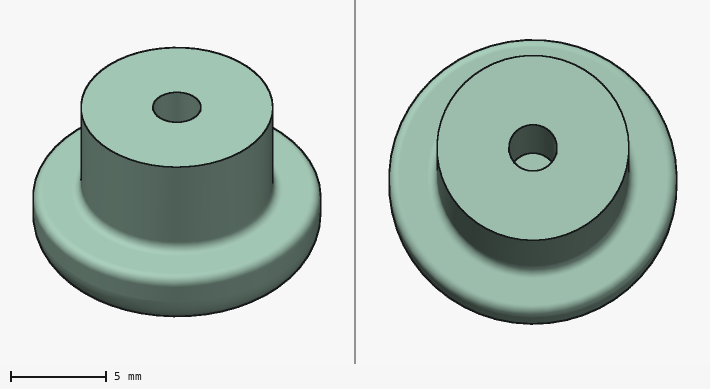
import cadquery as cq

head_diameter = 15.0
head_height = 3.5
stem_diameter = 10.0
total_height = 9.0
hole_diameter = 2.5

base_rounding = 2.0
rim_rounding = 0.5
root_fillet = 0.5

head_radius = head_diameter / 2
stem_radius = stem_diameter / 2
hole_depth = total_height - head_height


def make_body():
    """Head and stem, revolved about Z from half of their section (radius, height)."""
    half_section = (
        cq.Workplane("XZ")
        .lineTo(head_radius - base_rounding, 0)
        .tangentArcPoint((head_radius, base_rounding), relative=False)
        .lineTo(head_radius, head_height - rim_rounding)
        .tangentArcPoint((head_radius - rim_rounding, head_height), relative=False)
        .lineTo(stem_radius + root_fillet, head_height)
        .tangentArcPoint((stem_radius, head_height + root_fillet), relative=False)
        .lineTo(stem_radius, total_height)
        .lineTo(0, total_height)
        .close()
    )
    return half_section.revolve(360, (0, 0, 0), (0, 1, 0))


def cut_hole(body):
    """Flat-bottomed axial hole from the top of the stem."""
    return body.faces(">Z").workplane().hole(hole_diameter, hole_depth)


result = cut_hole(make_body())